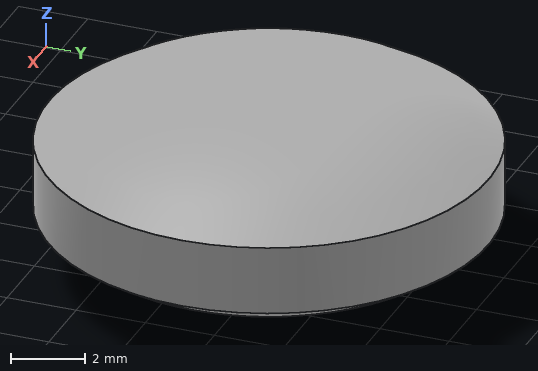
import cadquery as cq
import math

diameter = 12.7
center_thickness = 6.0
rim_height = 1.98

radius = diameter / 2
half_rim = rim_height / 2
half_thickness = center_thickness / 2
cap_height = half_thickness - half_rim

sphere_radius = (radius**2 + cap_height**2) / (2 * cap_height)
sphere_center_z = half_thickness - sphere_radius

mid_angle = math.asin(radius / sphere_radius) / 2
mid_r = sphere_radius * math.sin(mid_angle)
mid_z = sphere_center_z + sphere_radius * math.cos(mid_angle)

half_section = (
    cq.Workplane("XZ")
    .moveTo(0, -half_thickness)
    .threePointArc((mid_r, -mid_z), (radius, -half_rim))
    .lineTo(radius, half_rim)
    .threePointArc((mid_r, mid_z), (0, half_thickness))
    .close()
)

result = half_section.revolve(360, (0, 0, 0), (0, 1, 0))